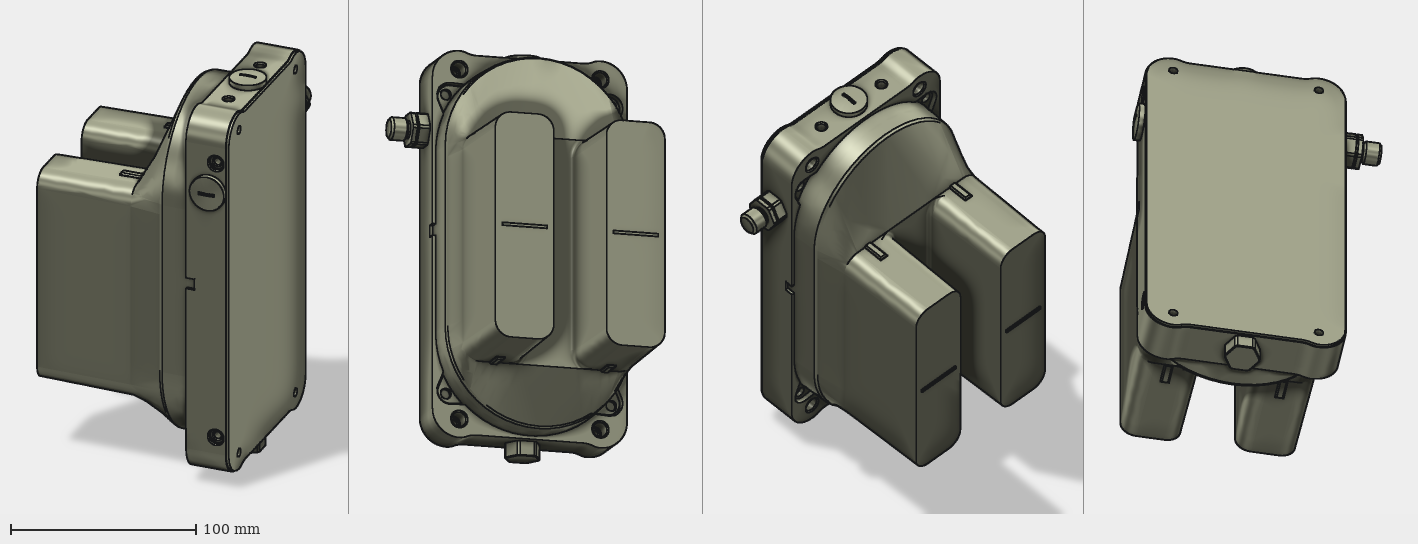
import cadquery as cq
import math


BASE_FRONT_X = -24.8
BASE_HALF_Y = 55.1
BASE_HALF_Z = 107.4
BASE_MID_HALF_Z = 105.4
CORNER_RADIUS = 15.2
LOBE_CREST_Y = 35.7
LOBE_FOOT_Y = 30.4
REAR_LIP_THICKNESS = 1.5
REAR_LIP_INSET = 0.7

MOUNT_Y = BASE_HALF_Y - CORNER_RADIUS
MOUNT_Z = 97.1
MOUNT_RADIUS = 2.35
MOUNT_BORE_RADIUS = 4.0
MOUNT_BORE_DEPTH = 11.2
HOLE_CHAMFER = 0.78

NOTCH_Z = 7.1
NOTCH_WIDTH = 6.5

SIDE_HOLE_X = -7.4
SIDE_HOLE_Z = 82.4
SIDE_BORE_RADIUS = 4.0
SIDE_BORE_DEPTH = 2.2
SIDE_HOLE_RADIUS = 2.0
SIDE_HOLE_DEPTH = 9.0

TOP_HOLE_X = -13.5
TOP_HOLE_Y = 22.3
TOP_HOLE_RADIUS = 2.57
TOP_HOLE_DEPTH = 9.0

FITTING_X = -11.4
FITTING_Z = 64.7

PLUG_RADIUS = 10.0
PLUG_RIM_HEIGHT = 3.1
PLUG_HEIGHT = 4.2
PLUG_SLOT_LENGTH = 9.2
PLUG_SLOT_WIDTH = 1.3
PLUG_SLOT_DEPTH = 1.0

HEX_ACROSS_FLATS = 17.5
HEX_CORNER_RADIUS = 9.5
HEX_PLUG_HEIGHT = 8.3
HEX_PLUG_CHAMFER = 0.5

NUT_HEIGHT = 9.5
NUT_GROOVE_RADIUS = 7.8
NUT_GROOVE_START = 6.0
NUT_GROOVE_WIDTH = 1.1
CONNECTOR_HEIGHT = 20.5
NECK_LENGTH = 1.1
NECK_RADIUS = 5.0
CAP_RADIUS = 6.3
CAP_CHAMFER = 1.3

FOOT_DEPTH = 5.0
DOME_RADIUS = 53.4
DOME_CENTER_Z = 50.2
SKIRT_END_X = -39.7
SKIRT_END_RADIUS = 52.7
DOME_RIM_X = -41.5
DOME_RIM_RADIUS = 51.8
SHOULDER_X = -59.5

FINGER_FRONT_X = -114.8
FINGER_CENTER_Y = 31.5
FINGER_CENTER_Z = -9.5
FINGER_WIDTH = 35.0
FINGER_HEIGHT = 126.8
FINGER_CORNER = 9.8
FINGER_DRAFT = 1.0
FINGER_FILLET = 2.7

FINGER_RIDGE_LENGTH = 25.2
FINGER_RIDGE_WIDTH = 1.5
FINGER_RIDGE_HEIGHT = 0.7
FINGER_RIB_LENGTH = 12.7
FINGER_RIB_WIDTH = 5.0
FINGER_RIB_HEIGHT = 1.1
FINGER_RIB_CHAMFER = 1.0

EAR_ANGLE = 35.0
EAR_DISTANCE = 55.0
EAR_RADIUS = 6.5
EAR_FLARE = 32.0
EAR_FLARE_LENGTH = 9.0
EAR_GAP = 1.1
EAR_THICKNESS = 2.7
EAR_HOLE_RADIUS = 3.0
EAR_HOLE_DISTANCE = 57.2

FOOT_X = BASE_FRONT_X + FOOT_DEPTH
SHOULDER_HALF_Y = FINGER_CENTER_Y + FINGER_WIDTH / 2
SHOULDER_TOP_Z = FINGER_CENTER_Z + FINGER_HEIGHT / 2
SHOULDER_BOTTOM_Z = FINGER_CENTER_Z - FINGER_HEIGHT / 2
RAMP_SPLITS = (
    DOME_CENTER_Z,
    SHOULDER_TOP_Z - FINGER_CORNER,
    -DOME_CENTER_Z,
    SHOULDER_BOTTOM_Z + FINGER_CORNER,
)
BOTH_SIDES = (1, -1)
TOLERANCE = 0.02


def facing_front(x):
    """Workplane at x whose normal is -X; local y is Z."""
    return cq.Workplane(cq.Plane(origin=(x, 0, 0), xDir=(0, -1, 0), normal=(-1, 0, 0)))


def stadium(x, radius):
    """Closed outline with round ends, in the plane at x."""
    return facing_front(x).slot2D(2 * (DOME_CENTER_Z + radius), 2 * radius, 90)


def stepped_hole(origin, direction, radius, depth, bore_radius, bore_depth):
    """Cutter for a chamfered hole with a chamfered counterbore, going along direction."""
    profile = (
        cq.Workplane("XZ")
        .moveTo(0, 0)
        .lineTo(bore_radius + HOLE_CHAMFER, 0)
        .lineTo(bore_radius, HOLE_CHAMFER)
        .lineTo(bore_radius, bore_depth)
        .lineTo(radius + HOLE_CHAMFER, bore_depth)
        .lineTo(radius, bore_depth + HOLE_CHAMFER)
        .lineTo(radius, depth)
        .lineTo(0, depth)
        .close()
    )
    return place(profile.revolve(360, (0, 0), (0, 1)), origin, direction)


def chamfered_hole(origin, direction, radius, depth):
    """Cutter for a plain hole with a chamfered mouth, going along direction."""
    hole = cq.Workplane("XY").circle(radius).extrude(depth)
    mouth = cq.Solid.makeCone(radius + HOLE_CHAMFER, radius, HOLE_CHAMFER)
    return place(hole.union(cq.Workplane(mouth)), origin, direction)


def place(shape, origin, direction):
    """Stand a shape built along +Z at origin so that its axis follows direction."""
    local_x = (0, 1, 0) if direction[0] else (1, 0, 0)
    plane = cq.Plane(origin=origin, xDir=local_x, normal=direction)
    return cq.Workplane(shape.val().moved(cq.Location(plane)))


def ears(radius, start_x, thickness):
    """Four ear-shaped prisms that reach from start_x towards +X."""
    flare = math.radians(EAR_FLARE)
    tangent_u = -radius * math.sin(flare)
    tangent_v = radius * math.cos(flare)
    end_u = tangent_u + EAR_FLARE_LENGTH * math.cos(flare)
    end_v = tangent_v + EAR_FLARE_LENGTH * math.sin(flare)
    flank = [(tangent_u, tangent_v), (end_u, end_v), (end_u, -end_v), (tangent_u, -tangent_v)]

    ear = cq.Workplane("YZ").circle(radius).extrude(thickness)
    ear = ear.union(cq.Workplane("YZ").polyline(flank).close().extrude(thickness))
    ear = ear.rotate((0, 0, 0), (1, 0, 0), 180 + EAR_ANGLE)
    ear = ear.translate((start_x, *ear_point(EAR_DISTANCE)))
    upper = ear.union(ear.mirror("XZ"))
    return upper.union(upper.mirror("XY"))


def ear_point(distance):
    """Y and Z of a point on the axis of the ear at +Y, +Z."""
    angle = math.radians(EAR_ANGLE)
    return distance * math.cos(angle), DOME_CENTER_Z + distance * math.sin(angle)


def base_block():
    quarter = (
        cq.Workplane("YZ")
        .workplane(offset=BASE_FRONT_X)
        .moveTo(0, 0)
        .lineTo(BASE_HALF_Y, 0)
        .lineTo(BASE_HALF_Y, BASE_HALF_Z - CORNER_RADIUS)
        .tangentArcPoint((MOUNT_Y, BASE_HALF_Z), relative=False)
        .tangentArcPoint((LOBE_CREST_Y, lobe_crest_z()), relative=False)
        .tangentArcPoint((LOBE_FOOT_Y, BASE_MID_HALF_Z), relative=False)
        .lineTo(0, BASE_MID_HALF_Z)
        .close()
        .extrude(-BASE_FRONT_X - REAR_LIP_THICKNESS)
    )
    upper = quarter.union(quarter.mirror("XZ"))
    block = upper.union(upper.mirror("XY")).clean()
    lip_outline = block.faces(">X").wires().toPending().offset2D(-REAR_LIP_INSET)
    return block.union(lip_outline.extrude(REAR_LIP_THICKNESS, combine=False))


def lobe_crest_z():
    """Height at which both arcs of the lobe flank share one tangent."""
    share = (MOUNT_Y - LOBE_CREST_Y) / (MOUNT_Y - LOBE_FOOT_Y)
    return BASE_HALF_Z - share * (BASE_HALF_Z - BASE_MID_HALF_Z)


def slotted_plug(origin, direction):
    """Round plug with a slightly domed, slotted head."""
    plug = (
        cq.Workplane("XZ")
        .lineTo(PLUG_RADIUS, 0)
        .lineTo(PLUG_RADIUS, PLUG_RIM_HEIGHT)
        .threePointArc(dome_point(PLUG_RADIUS / 2), (0, PLUG_HEIGHT))
        .close()
        .revolve(360, (0, 0), (0, 1))
    )
    slot = cq.Workplane("XY").workplane(offset=PLUG_HEIGHT - PLUG_SLOT_DEPTH)
    slot = slot.rect(PLUG_SLOT_LENGTH, PLUG_SLOT_WIDTH).extrude(PLUG_SLOT_DEPTH)
    return place(plug.cut(slot), origin, direction)


def dome_point(radius):
    """Point of the plug's spherical head at the given radius."""
    rise = PLUG_HEIGHT - PLUG_RIM_HEIGHT
    sphere = (PLUG_RADIUS**2 + rise**2) / (2 * rise)
    return radius, PLUG_HEIGHT - sphere + math.sqrt(sphere**2 - radius**2)


def hexagon(height):
    """Hexagonal prism with rounded corners, one pair of corners on the local x axis."""
    prism = cq.Workplane("XY").polygon(6, HEX_ACROSS_FLATS / math.cos(math.pi / 6)).extrude(height)
    return prism.intersect(cq.Workplane("XY").circle(HEX_CORNER_RADIUS).extrude(height))


def hex_plug():
    plug = hexagon(HEX_PLUG_HEIGHT).faces(">Z").chamfer(HEX_PLUG_CHAMFER)
    plug = plug.rotate((0, 0, 0), (0, 0, 1), 90)
    return place(plug, (FITTING_X, 0, -BASE_MID_HALF_Z), (0, 0, -1))


def connector():
    nut = hexagon(NUT_HEIGHT)
    groove = cq.Workplane("XY").workplane(offset=NUT_GROOVE_START)
    groove = groove.circle(HEX_CORNER_RADIUS).circle(NUT_GROOVE_RADIUS).extrude(NUT_GROOVE_WIDTH)
    neck = cq.Workplane("XY").circle(NECK_RADIUS).extrude(NUT_HEIGHT + NECK_LENGTH)
    cap_start = NUT_HEIGHT + NECK_LENGTH
    cap = cq.Workplane("XY").workplane(offset=cap_start).circle(CAP_RADIUS)
    cap = cap.extrude(CONNECTOR_HEIGHT - cap_start).faces("<Z or >Z").chamfer(CAP_CHAMFER)
    return place(nut.cut(groove).union(neck).union(cap), (FITTING_X, BASE_HALF_Y, FITTING_Z), (0, 1, 0))


def cover_recess():
    """Seat of the cover's foot, with a wider pocket around each ear."""
    seat = stadium(FOOT_X, DOME_RADIUS).extrude(FOOT_DEPTH)
    return seat.union(ears(EAR_RADIUS + EAR_GAP, BASE_FRONT_X, FOOT_DEPTH))


def make_base():
    base = base_block().cut(cover_recess())

    for side in BOTH_SIDES:
        for end in BOTH_SIDES:
            origin = (BASE_FRONT_X, side * MOUNT_Y, end * MOUNT_Z)
            base = base.cut(stepped_hole(origin, (1, 0, 0), MOUNT_RADIUS, -BASE_FRONT_X,
                                         MOUNT_BORE_RADIUS, MOUNT_BORE_DEPTH))

    notch = cq.Workplane("XY").box(FOOT_DEPTH, 2 * BASE_HALF_Y, NOTCH_WIDTH)
    base = base.cut(notch.translate(((BASE_FRONT_X + FOOT_X) / 2, 0, NOTCH_Z)))

    for end in BOTH_SIDES:
        origin = (SIDE_HOLE_X, -BASE_HALF_Y, end * SIDE_HOLE_Z)
        base = base.cut(stepped_hole(origin, (0, 1, 0), SIDE_HOLE_RADIUS, SIDE_HOLE_DEPTH,
                                     SIDE_BORE_RADIUS, SIDE_BORE_DEPTH))

    for side in BOTH_SIDES:
        origin = (TOP_HOLE_X, side * TOP_HOLE_Y, BASE_MID_HALF_Z)
        base = base.cut(chamfered_hole(origin, (0, 0, -1), TOP_HOLE_RADIUS, TOP_HOLE_DEPTH))

    base = base.union(slotted_plug((FITTING_X, 0, BASE_MID_HALF_Z), (0, 0, 1)))
    base = base.union(slotted_plug((FITTING_X, -BASE_HALF_Y, FITTING_Z), (0, -1, 0)))
    base = base.union(hex_plug())
    return base.union(connector())


def finger(side):
    """Drafted finger with rounded corners, standing on the shoulder."""
    section = cq.Sketch().rect(FINGER_WIDTH, FINGER_HEIGHT).vertices().fillet(FINGER_CORNER)
    length = SHOULDER_X - FINGER_FRONT_X
    return (
        facing_front(SHOULDER_X)
        .center(-side * FINGER_CENTER_Y, FINGER_CENTER_Z)
        .placeSketch(section)
        .extrude(length, taper=FINGER_DRAFT)
    )


def finger_fillet(side):
    """Fillet between a finger and the shoulder, only on the side facing the other finger."""
    slab = facing_front(SHOULDER_X).rect(4 * FINGER_WIDTH, 2 * FINGER_HEIGHT)
    slab = slab.extrude(-FINGER_FILLET)
    root_edge = cq.selectors.BoxSelector(
        (SHOULDER_X - TOLERANCE, 0, SHOULDER_BOTTOM_Z - TOLERANCE),
        (SHOULDER_X + TOLERANCE, side * FINGER_CENTER_Y, SHOULDER_TOP_Z + TOLERANCE),
        boundingbox=True,
    )
    rooted = slab.union(finger(side)).edges(root_edge).fillet(FINGER_FILLET)
    inner_zone = cq.Workplane("XY").box(FINGER_FILLET, FINGER_CENTER_Y, FINGER_HEIGHT)
    inner_zone = inner_zone.translate(
        (SHOULDER_X - FINGER_FILLET / 2, side * FINGER_CENTER_Y / 2, FINGER_CENTER_Z)
    )
    return rooted.intersect(inner_zone)


def finger_ridge(side):
    """Thin raised line across the front face of a finger."""
    ridge = facing_front(FINGER_FRONT_X).center(-side * FINGER_CENTER_Y, FINGER_CENTER_Z)
    return ridge.rect(FINGER_RIDGE_LENGTH, FINGER_RIDGE_WIDTH).extrude(FINGER_RIDGE_HEIGHT)


def finger_ribs(side):
    """Short bevelled ribs on the upper and lower ends of a finger, next to the shoulder."""
    height = FINGER_HEIGHT + 2 * FINGER_RIB_HEIGHT
    ribs = cq.Workplane("XY").box(FINGER_RIB_LENGTH, FINGER_RIB_WIDTH, height)
    ribs = ribs.faces("<Z or >Z").edges("not >X").chamfer(FINGER_RIB_CHAMFER)
    return ribs.translate(
        (SHOULDER_X - FINGER_RIB_LENGTH / 2, side * FINGER_CENTER_Y, FINGER_CENTER_Z)
    )


def shoulder_y(z):
    """Half width of the shoulder at height z."""
    r = FINGER_CORNER
    into_corner = max(z - (SHOULDER_TOP_Z - r), SHOULDER_BOTTOM_Z + r - z, 0)
    return SHOULDER_HALF_Y - r + math.sqrt(max(r**2 - into_corner**2, 0))


def rim_y(z):
    """Half width of the dome's rim at height z."""
    into_arc = max(abs(z) - DOME_CENTER_Z, 0)
    return math.sqrt(DOME_RIM_RADIUS**2 - into_arc**2)


def ramp_outline(x, half_width, top, bottom, side_top, side_bottom):
    """Symmetric outline at x, with both sides split at the shared heights."""
    heights = [side_top, *RAMP_SPLITS, side_bottom]
    right = [(half_width(z), z) for z in heights]
    right_middles = [(half_width(z), z) for z in midpoints(heights)]
    left = [(-y, z) for y, z in reversed(right)]
    left_middles = [(-y, z) for y, z in reversed(right_middles)]

    ends = [*right, *left, right[0]]
    middles = [*right_middles, (0, bottom), *left_middles, (0, top)]
    outline = facing_front(x).moveTo(*right[0])
    for start, middle, end in zip(ends, middles, ends[1:]):
        outline = line_or_arc(outline, start, middle, end)
    return outline.wire()


def midpoints(values):
    return [(first + second) / 2 for first, second in zip(values, values[1:])]


def line_or_arc(outline, start, middle, end):
    """Go on to end through middle, straight when the three points are in line."""
    bend = (middle[0] - start[0]) * (end[1] - start[1]) - (middle[1] - start[1]) * (end[0] - start[0])
    if abs(bend) < TOLERANCE:
        return outline.lineTo(*end)
    return outline.threePointArc(middle, end)


def shoulder_outline():
    """Rounded rectangle around both fingers."""
    top, bottom = SHOULDER_TOP_Z, SHOULDER_BOTTOM_Z
    return ramp_outline(SHOULDER_X, shoulder_y, top, bottom, top, bottom)


def rim_outline():
    """Stadium at the rim of the dome; its round ends start above the finger corners."""
    top = DOME_CENTER_Z + DOME_RIM_RADIUS
    end_start_y = SHOULDER_HALF_Y - FINGER_CORNER
    side_top = DOME_CENTER_Z + math.sqrt(DOME_RIM_RADIUS**2 - end_start_y**2)
    return ramp_outline(DOME_RIM_X, rim_y, top, -top, side_top, -side_top)


def dome():
    """Foot, drafted skirt, bevelled rim and the ramped top that narrows to the shoulder."""
    foot = stadium(FOOT_X, DOME_RADIUS).extrude(FOOT_DEPTH)
    skirt = drafted_stadium(BASE_FRONT_X, DOME_RADIUS, SKIRT_END_X, SKIRT_END_RADIUS)
    rim = drafted_stadium(SKIRT_END_X, SKIRT_END_RADIUS, DOME_RIM_X, DOME_RIM_RADIUS)
    ramp = cq.Solid.makeLoft([rim_outline().val(), shoulder_outline().val()], True)
    return foot.union(skirt).union(rim).union(cq.Workplane(ramp))


def drafted_stadium(start_x, start_radius, end_x, end_radius):
    """Stadium prism whose walls lean in from start_radius to end_radius."""
    height = start_x - end_x
    draft = math.degrees(math.atan((start_radius - end_radius) / height))
    return stadium(start_x, start_radius).extrude(height, taper=draft)


def ear_holes(ear_front_x):
    """Screw holes through the ears."""
    y, z = ear_point(EAR_HOLE_DISTANCE)
    centers = [(side * y, end * z) for side in BOTH_SIDES for end in BOTH_SIDES]
    holes = facing_front(ear_front_x).pushPoints(centers).circle(EAR_HOLE_RADIUS)
    return holes.extrude(-EAR_THICKNESS)


def make_cover():
    cover = dome()
    for side in BOTH_SIDES:
        cover = cover.union(finger(side))
        cover = cover.union(finger_fillet(side))
        cover = cover.union(finger_ridge(side))
        cover = cover.union(finger_ribs(side))
    ear_front_x = FOOT_X - EAR_THICKNESS
    cover = cover.union(ears(EAR_RADIUS, ear_front_x, EAR_THICKNESS))
    return cover.cut(ear_holes(ear_front_x))


base = make_base()
cover = make_cover()
result = cq.Compound.makeCompound([*base.solids().vals(), *cover.solids().vals()])